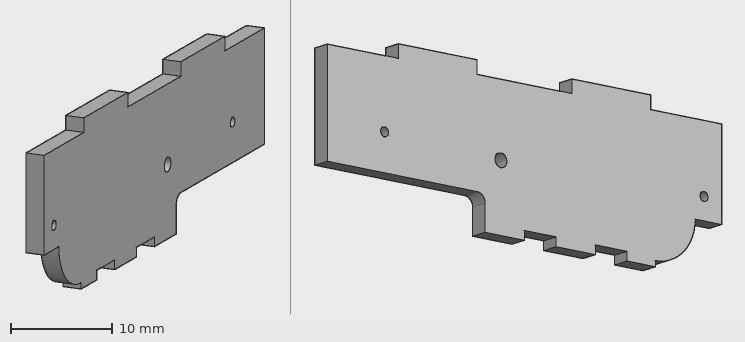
import cadquery as cq

length = 50.0
thickness = 2.0
height = 17.5

body_top = 16.0
body_bottom = 4.0

top_tab_width = 10.0
top_tab_inset = 9.0
top_tab_starts = [top_tab_inset, length - top_tab_inset - top_tab_width]

block_start = 20.0
corner_radius = 5.05
corner_center = 41.6
corner_height = 5.7
inner_fillet = 1.0

notch_depth = 1.0
notches = [(25.0, 4.0), (34.0, 4.0)]

small_hole = 1.0
large_hole = 1.5
holes = [
    (7.25, 8.2, small_hole),
    (22.0, 7.7, large_hole),
    (47.75, 8.2, small_hole),
]


def plate():
    """Workplane facing -X, its first axis running toward -Y from the +Y end."""
    return cq.Workplane(
        cq.Plane(origin=(thickness / 2, length / 2, 0), xDir=(0, -1, 0), normal=(-1, 0, 0))
    )


def block(start, bottom, width, tall):
    """Full-thickness rectangle given by its start corner and size."""
    return plate().moveTo(start, bottom).rect(width, tall, centered=False).extrude(thickness)


def outline():
    """Body and lower block, with the concave fillet and the rounded corner."""
    corner_end = corner_center + corner_radius
    corner_bottom = corner_height - corner_radius
    return (
        plate()
        .moveTo(0, body_top)
        .lineTo(0, body_bottom)
        .lineTo(block_start - inner_fillet, body_bottom)
        .radiusArc((block_start, body_bottom - inner_fillet), inner_fillet)
        .lineTo(block_start, 0)
        .lineTo(corner_center, 0)
        .lineTo(corner_center, corner_bottom)
        .radiusArc((corner_end, corner_height), -corner_radius)
        .lineTo(length, corner_height)
        .lineTo(length, body_top)
        .close()
        .extrude(thickness)
    )


result = outline()

for start in top_tab_starts:
    result = result.union(block(start, body_top, top_tab_width, height - body_top))

for start, width in notches:
    result = result.cut(block(start, 0, width, notch_depth))

for position, hole_height, diameter in holes:
    hole = plate().center(position, hole_height).circle(diameter / 2).extrude(thickness)
    result = result.cut(hole)